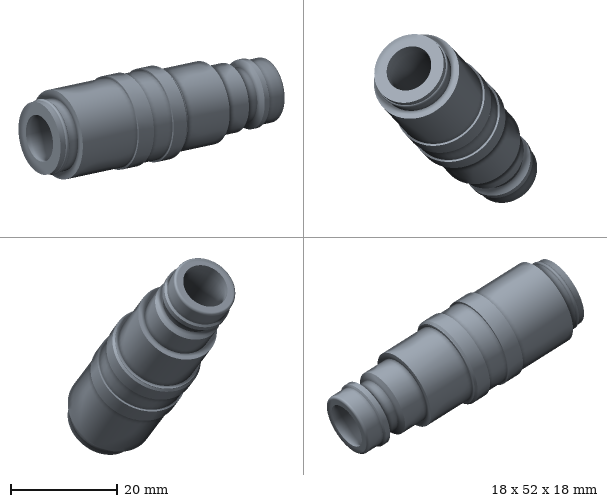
import cadquery as cq

length = 52.0
bore_diameter = 9.0
full_turn = 360

spigot_diameter = 14.0
bead_diameter = 14.55
body_diameter = 17.2
collar_diameter = 18.0
sleeve_diameter = 16.0
shank_diameter = 13.4
neck_diameter = 10.8
tip_diameter = 12.5

bead_start = 1.2
bead_width = 0.8
spigot_end = 4.0
ring_start = 16.5
ring_end = 20.0
collar_start = 24.5
collar_end = 28.0
sleeve_end = 38.0
shank_end = 43.3
neck_start = 44.0
neck_end = 46.1
flange_start = 46.9
flange_end = 48.3

collar_chamfer = 0.5
tip_fillet = 0.5
flange_chamfer_length = 0.3


def sketch_plane(station):
    """XZ plane at a Y station, with its normal along +Y."""
    return cq.Workplane(cq.Plane(origin=(0, station, 0), xDir=(-1, 0, 0), normal=(0, 1, 0)))


def radial_workplane():
    """Half-plane for revolving: local x is the radius, local y is the Y axis."""
    return cq.Workplane(cq.Plane(origin=(0, 0, 0), xDir=(-1, 0, 0), normal=(0, 0, -1)))


def cylinder_step(start, end, diameter):
    """Solid cylinder along Y between two stations."""
    return sketch_plane(start).circle(diameter / 2).extrude(end - start)


def cone_step(start, end, start_diameter, end_diameter):
    """Solid truncated cone along Y between two stations."""
    outline = [
        (0, start),
        (start_diameter / 2, start),
        (end_diameter / 2, end),
        (0, end),
    ]
    return radial_workplane().polyline(outline).close().revolve(full_turn, (0, 0), (0, 1))


def sealing_bead():
    """Rounded bead around the spigot."""
    spigot_radius = spigot_diameter / 2
    bead_crest = (bead_diameter / 2, bead_start + bead_width / 2)
    bead_end = bead_start + bead_width
    return (
        radial_workplane()
        .moveTo(0, bead_start)
        .lineTo(spigot_radius, bead_start)
        .threePointArc(bead_crest, (spigot_radius, bead_end))
        .lineTo(0, bead_end)
        .close()
        .revolve(full_turn, (0, 0), (0, 1))
    )


def spigot():
    """Sealing end with its rounded bead."""
    return cylinder_step(0, spigot_end, spigot_diameter).union(sealing_bead())


def body():
    """Main barrel with a plain ring and a collar chamfered on its plug side."""
    barrel = cylinder_step(spigot_end, collar_end, body_diameter)
    ring = cylinder_step(ring_start, ring_end, collar_diameter)
    collar = cylinder_step(collar_start, collar_end, collar_diameter)
    collar = collar.faces(">Y").edges().chamfer(collar_chamfer)
    return barrel.union(ring).union(collar)


def plug():
    """Sleeve, shank, tapered neck groove, flange and rounded tip."""
    flange_chamfer_start = flange_end - flange_chamfer_length
    tip = cylinder_step(flange_end, length, tip_diameter)
    tip = tip.faces(">Y").edges().fillet(tip_fillet)
    return (
        cylinder_step(collar_end, sleeve_end, sleeve_diameter)
        .union(cylinder_step(sleeve_end, shank_end, shank_diameter))
        .union(cone_step(shank_end, neck_start, shank_diameter, neck_diameter))
        .union(cylinder_step(neck_start, neck_end, neck_diameter))
        .union(cone_step(neck_end, flange_start, neck_diameter, shank_diameter))
        .union(cylinder_step(flange_start, flange_chamfer_start, shank_diameter))
        .union(cone_step(flange_chamfer_start, flange_end, shank_diameter, tip_diameter))
        .union(tip)
    )


bore = cylinder_step(0, length, bore_diameter)
result = spigot().union(body()).union(plug()).cut(bore)